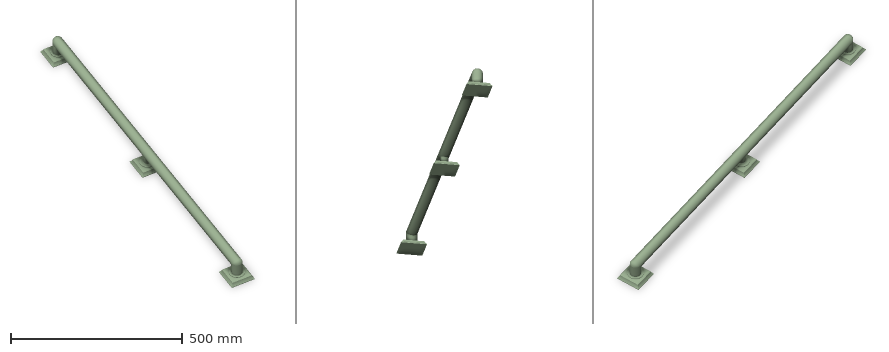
import cadquery as cq
import math

length = 1143.0
foot_side = 77.0
height = 70.0

rail_diameter = 33.0
elbow_bend_radius = 13.0

rim_height = 2.0
cove_run = 6.3
cove_top_height = 13.0
cove_sag = 1.0
panel_margin = 9.0
panel_height = 14.0
collar_diameter = 47.0
collar_height = 16.0
cone_radius = 16.0
cone_height = 18.0

middle_post_diameter = 24.0

rail_radius = rail_diameter / 2
collar_radius = collar_diameter / 2
middle_post_radius = middle_post_diameter / 2
foot_half = foot_side / 2
post_offset = length / 2 - foot_half
rail_axis_height = height - rail_radius
bend_center_x = post_offset + rail_radius - elbow_bend_radius
bend_center_z = height - elbow_bend_radius
bend_chord_half = math.sqrt(rail_radius**2 - (rail_radius - elbow_bend_radius) ** 2)


def upright_cylinder(x, radius, bottom, top):
    """Cylinder along Z centered at (x, 0)."""
    return cq.Workplane("XY", origin=(x, 0, bottom)).circle(radius).extrude(top - bottom)


def prism_along_y(outline):
    """Prism with an XZ outline, as deep as a foot."""
    return cq.Workplane("XZ").polyline(outline).close().extrude(foot_half, both=True)


def make_foot():
    """Square foot at the origin: thin rim, coved sides, beveled top, round collar and low cone."""
    cove_top_half = foot_half - cove_run
    panel_half = foot_half - panel_margin
    moulding = (
        cq.Workplane("XZ")
        .moveTo(-foot_half, 0)
        .lineTo(foot_half, 0)
        .lineTo(foot_half, rim_height)
        .sagittaArc((cove_top_half, cove_top_height), cove_sag)
        .lineTo(panel_half, panel_height)
        .lineTo(-panel_half, panel_height)
        .lineTo(-cove_top_half, cove_top_height)
        .sagittaArc((-foot_half, rim_height), cove_sag)
        .close()
        .extrude(foot_half, both=True)
    )
    foot = moulding.intersect(moulding.rotate((0, 0, 0), (0, 0, 1), 90))
    collar = (
        cq.Workplane("XZ")
        .polyline(
            [
                (0, 0),
                (collar_radius, 0),
                (collar_radius, collar_height),
                (cone_radius, collar_height),
                (middle_post_radius, cone_height),
                (0, cone_height),
            ]
        )
        .close()
        .revolve(360, (0, 0, 0), (0, 1, 0))
    )
    return foot.union(collar)


def make_rail():
    """Round rail between the bend centers, mitred at 45 degrees on its underside."""
    rail = (
        cq.Workplane("YZ", origin=(-bend_center_x, 0, rail_axis_height))
        .circle(rail_radius)
        .extrude(2 * bend_center_x)
    )
    mitre_foot_x = bend_center_x - bend_center_z
    outline = [
        (-bend_center_x, height),
        (-bend_center_x, bend_center_z),
        (-mitre_foot_x, 0),
        (mitre_foot_x, 0),
        (bend_center_x, bend_center_z),
        (bend_center_x, height),
    ]
    return rail.intersect(prism_along_y(outline))


def make_right_end():
    """Mitred end post with the outside of its corner swung round the bend center."""
    post = upright_cylinder(post_offset, rail_radius, panel_height, bend_center_z)
    outline = [
        (bend_center_x - bend_center_z, 0),
        (length / 2, 0),
        (length / 2, bend_center_z),
        (bend_center_x, bend_center_z),
    ]
    bend = (
        cq.Workplane("YZ", origin=(bend_center_x, 0, bend_center_z))
        .moveTo(-bend_chord_half, 0)
        .threePointArc((0, elbow_bend_radius), (bend_chord_half, 0))
        .close()
        .revolve(90, (0, 0, 0), (1, 0, 0))
    )
    return post.intersect(prism_along_y(outline)).union(bend)


middle_post = upright_cylinder(0, middle_post_radius, panel_height, rail_axis_height)
right_end = make_right_end()
foot = make_foot()

result = make_rail().union(middle_post).union(right_end).union(right_end.mirror("YZ"))
for foot_x in (-post_offset, 0, post_offset):
    result = result.union(foot.translate((foot_x, 0, 0)))